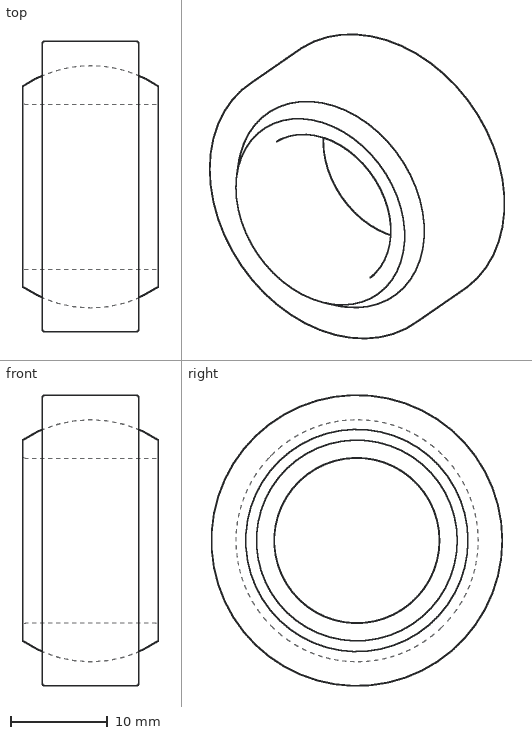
import cadquery as cq
import math

OUTER_DIAMETER = 30.0
RING_WIDTH = 10.0
BALL_WIDTH = 14.0
BORE_DIAMETER = 17.0
SPHERE_DIAMETER = 25.0
EDGE_RADIUS = 0.3

outer_radius = OUTER_DIAMETER / 2
bore_radius = BORE_DIAMETER / 2
sphere_radius = SPHERE_DIAMETER / 2
half_ring = RING_WIDTH / 2
half_ball = BALL_WIDTH / 2


def sphere_section_radius(distance):
    """Radius of the circle cut from the ball's sphere at a distance from its centre."""
    return math.sqrt(sphere_radius**2 - distance**2)


def revolve_about_x(profile):
    """Turn a closed profile, drawn with X along the axis and Y outward, about the X axis."""
    return profile.close().revolve(360, (0, 0, 0), (1, 0, 0))


def make_outer_ring():
    """Ring with a rounded rim and a spherical seat that fits the ball."""
    seat_edge = sphere_section_radius(half_ring)
    profile = (
        cq.Workplane("XY")
        .moveTo(-half_ring, seat_edge)
        .threePointArc((0, sphere_radius), (half_ring, seat_edge))
        .lineTo(half_ring, outer_radius)
        .lineTo(-half_ring, outer_radius)
    )
    ring = revolve_about_x(profile)
    rim_edges = cq.selectors.RadiusNthSelector(-1)
    return ring.edges("%CIRCLE").edges(rim_edges).fillet(EDGE_RADIUS)


def make_ball():
    """Inner ring: a sphere cut by two flat ends, with a through bore rounded at both mouths."""
    end_radius = sphere_section_radius(half_ball)
    profile = (
        cq.Workplane("XY")
        .moveTo(-half_ball, end_radius)
        .threePointArc((0, sphere_radius), (half_ball, end_radius))
        .lineTo(half_ball, bore_radius)
        .lineTo(-half_ball, bore_radius)
    )
    ball = revolve_about_x(profile)
    bore_edges = cq.selectors.RadiusNthSelector(0)
    return ball.faces("<X or >X").edges(bore_edges).fillet(EDGE_RADIUS)


outer_ring = make_outer_ring()
ball = make_ball()

result = cq.Compound.makeCompound([outer_ring.val(), ball.val()])